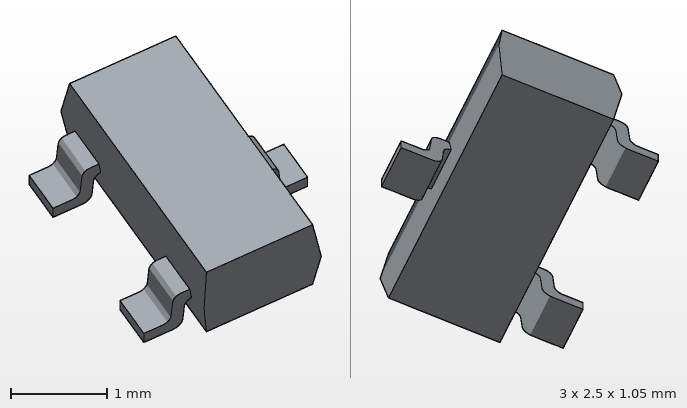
import cadquery as cq
import math

body_length = 3.0
body_width = 1.4
body_height = 1.0
body_inset = 0.065

overall_height = 1.05
lead_span = 2.5
lead_width = 0.5
lead_pitch = 1.902
lead_thickness = 0.153
shank_lean = 5.0
shoulder_reach = 0.897
bend_radius = 0.1
heel_radius = 0.12
lead_embed = 0.15

standoff = overall_height - body_height
parting_z = standoff + body_height / 2


def body_half(end_z):
    """Frustum from the parting plane to the smaller face at end_z."""
    return (
        cq.Workplane("XY", origin=(0, 0, parting_z))
        .rect(body_length, body_width)
        .workplane(offset=end_z - parting_z)
        .rect(body_length - 2 * body_inset, body_width - 2 * body_inset)
        .loft(ruled=True, combine=True)
    )


def lead(center_x):
    """Lead on the +Y side: shoulder, leaning shank and flat foot."""
    lean = math.tan(math.radians(shank_lean))
    shank_width = lead_thickness / math.cos(math.radians(shank_lean))
    root = body_width / 2 - lead_embed
    tip = lead_span / 2
    shoulder_bottom = parting_z - lead_thickness

    def outer_face(z):
        return shoulder_reach + (parting_z - z) * lean

    def inner_face(z):
        return outer_face(z) - shank_width

    shoulder = (outer_face(parting_z), parting_z)
    instep = (outer_face(lead_thickness), lead_thickness)
    heel = (inner_face(0), 0)
    armpit = (inner_face(shoulder_bottom), shoulder_bottom)
    profile = [
        (root, parting_z),
        shoulder,
        instep,
        (tip, lead_thickness),
        (tip, 0),
        heel,
        armpit,
        (root, shoulder_bottom),
    ]
    blank = (
        cq.Workplane("YZ", origin=(center_x - lead_width / 2, 0, 0))
        .polyline(profile)
        .close()
        .extrude(lead_width)
    )
    bends = [
        (shoulder, bend_radius),
        (instep, bend_radius),
        (armpit, bend_radius),
        (heel, heel_radius),
    ]
    for (y, z), radius in bends:
        edge = cq.selectors.NearestToPointSelector((center_x, y, z))
        blank = blank.edges("|X").edges(edge).fillet(radius)
    return blank


result = body_half(overall_height).union(body_half(standoff))
result = result.union(lead(0))
for side in (-1, 1):
    front_lead = lead(side * lead_pitch / 2).mirror("XZ")
    result = result.union(front_lead)